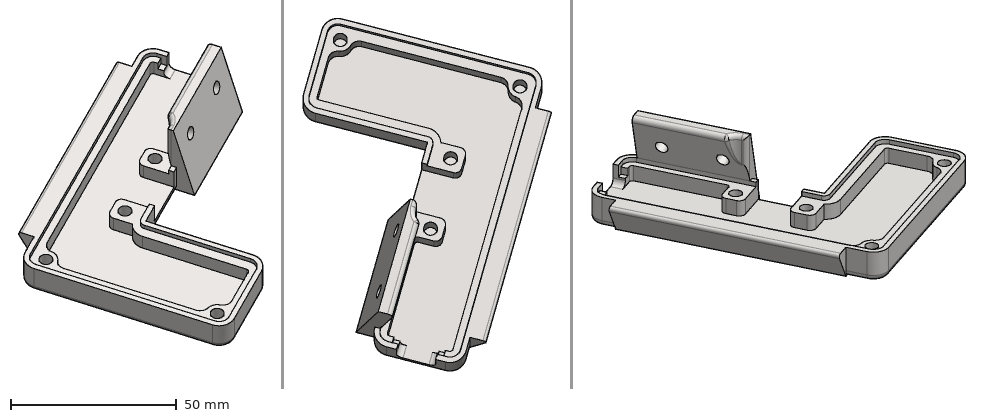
import cadquery as cq
import math

TRAY_X = 68.5
TRAY_Y = 96.7
TRAY_Z = 10.1
ARM_X = 28.5
FOOT_Y = 30.9
OUTER_R = 5.0
BOTTOM_R = 2.0
FLOOR_Z = 3.3
LEDGE_Z = 8.5
RIM_T = 1.7
RIM_INNER_R = 2.0

WALL_T = 4.1
FOOT_WALL_T = 4.8
POCKET_R = 1.0
ELBOW_R = 5.0

SCREW_D = 4.2
CORNER_SCREW_X = 6.4
CORNER_SCREW_SPAN = 56.1
CORNER_SCREW_Y = 6.1
CORNER_BOSS_R = 3.6
CORNER_BLEND_R = 3.0
BLOCK_LEFT = 16.5
BLOCK_R = 2.0
BLOCK_SCREW_X = 20.6
LOW_BLOCK_Y = (29.5, 37.7)
HIGH_BLOCK_Y = (52.6, 60.1)
LOW_SCREW_Y = 33.5
HIGH_SCREW_Y = 56.6

CABLE_X = 12.2
CABLE_R = 2.0
COLLAR_X = 16.0
COLLAR_Z = 6.0

RAIL_REACH = 5.0
RAIL_Y = (11.9, 87.2)
RAIL_ANGLE = 30.0
RAIL_R = 1.0

PLATE_TOP = 26.0
PLATE_Y = (54.6, 91.5)
PLATE_LEAN = 15.0
PLATE_X = 4.9
PLATE_R = 1.5
PLATE_HOLE_D = 4.1
PLATE_HOLE_Y = (62.7, 82.7)
PLATE_HOLE_Z = 16.4
ACCESS_R = 4.5

OVERSHOOT = 1.0
TOUCH = 0.1


corner_screws = [
    (CORNER_SCREW_X, CORNER_SCREW_Y),
    (CORNER_SCREW_X + CORNER_SCREW_SPAN, CORNER_SCREW_Y),
]
block_screws = [(BLOCK_SCREW_X, LOW_SCREW_Y), (BLOCK_SCREW_X, HIGH_SCREW_Y)]


def block(x, y, z):
    """Box given by its (low, high) limits along each axis."""
    box = cq.Workplane("XY").box(x[1] - x[0], y[1] - y[0], z[1] - z[0], centered=False)
    return box.translate((x[0], y[0], z[0]))


def edge_at(x, y):
    """Selector for the vertical edges standing at (x, y)."""
    return cq.selectors.BoxSelector((x - TOUCH, y - TOUCH, 0), (x + TOUCH, y + TOUCH, PLATE_TOP))


def ell(low, high, side_inset, foot_inset, outer_radii, inner_radius=0):
    """L-shaped prism inset from the tray outline.

    foot_inset applies to the long sides of the foot, side_inset to all other sides.
    outer_radii lists the outer corners counterclockwise from the origin; 0 keeps a corner sharp.
    """
    left, right, arm_right = side_inset, TRAY_X - side_inset, ARM_X - side_inset
    bottom, foot_top, top = foot_inset, FOOT_Y - foot_inset, TRAY_Y - side_inset
    outer = [(left, bottom), (right, bottom), (right, foot_top), (arm_right, top), (left, top)]
    inner = (arm_right, foot_top)
    outline = outer[:3] + [inner] + outer[3:]
    body = cq.Workplane("XY").workplane(offset=low).polyline(outline).close().extrude(high - low)
    for (x, y), radius in zip(outer + [inner], outer_radii + [inner_radius]):
        if radius > 0:
            body = body.edges("|Z").edges(edge_at(x, y)).fillet(radius)
    return body


def make_shell():
    shell = ell(0, TRAY_Z, 0, 0, [OUTER_R] * 5)
    return shell.faces("<Z").edges().fillet(BOTTOM_R)


def make_rim_recess():
    return ell(LEDGE_Z, TRAY_Z + OVERSHOOT, RIM_T, RIM_T, [OUTER_R - RIM_T] * 5, RIM_INNER_R)


def make_pocket():
    """Pocket with the corner bosses and the square bosses left standing."""
    radii = [0, 0, POCKET_R, POCKET_R, POCKET_R]
    pocket = ell(FLOOR_Z, LEDGE_Z, WALL_T, FOOT_WALL_T, radii, ELBOW_R)
    bosses = (
        cq.Workplane("XY").workplane(offset=FLOOR_Z).pushPoints(corner_screws)
        .circle(CORNER_BOSS_R).extrude(LEDGE_Z - FLOOR_Z)
    )
    pocket = pocket.cut(bosses)
    for x, y in corner_screws:
        reach = CORNER_BOSS_R + TOUCH
        near_boss = cq.selectors.BoxSelector((x - reach, 0, 0), (x + reach, y + reach, TRAY_Z))
        pocket = pocket.edges("|Z").edges(near_boss).fillet(CORNER_BLEND_R)
    for y in (LOW_BLOCK_Y, HIGH_BLOCK_Y):
        square = block((BLOCK_LEFT, ARM_X), y, (FLOOR_Z, LEDGE_Z)).edges("|Z and <X").fillet(BLOCK_R)
        pocket = pocket.cut(square)
    return pocket.edges("|Z").edges(edge_at(ARM_X - WALL_T, HIGH_BLOCK_Y[1])).fillet(POCKET_R)


def make_side_opening():
    """Gap in the arm wall between the two square bosses."""
    across = (BLOCK_SCREW_X, ARM_X + OVERSHOOT)
    along = (LOW_BLOCK_Y[1], HIGH_BLOCK_Y[0])
    return block(across, along, (FLOOR_Z, TRAY_Z + OVERSHOOT))


def make_cable_outlet():
    """Slot with rounded lower corners at floor level, plus the collar recess."""
    middle = ARM_X / 2
    inner = TRAY_Y - WALL_T
    top = TRAY_Z + OVERSHOOT
    slot = block((middle - CABLE_X / 2, middle + CABLE_X / 2), (inner, TRAY_Y + OVERSHOOT), (FLOOR_Z, top))
    slot = slot.faces("<Z").edges("|Y").fillet(CABLE_R)
    collar = block(
        (middle - COLLAR_X / 2, middle + COLLAR_X / 2), (inner, TRAY_Y - RIM_T), (COLLAR_Z, top)
    )
    return slot.union(collar)


def make_rail():
    """Overhanging rail, flush with the rim and running into the side wall."""
    nose_setback = RAIL_R * (math.tan(math.radians(45 + RAIL_ANGLE / 2)) - 1)
    tip = -RAIL_REACH - nose_setback
    foot = tip + TRAY_Z * math.tan(math.radians(RAIL_ANGLE))
    outline = [(tip, TRAY_Z), (RIM_T, TRAY_Z), (RIM_T, 0), (foot, 0)]
    rail = (
        cq.Workplane("XZ", origin=(0, RAIL_Y[1], 0)).polyline(outline).close()
        .extrude(RAIL_Y[1] - RAIL_Y[0])
    )
    return rail.edges("|Y and <X").fillet(RAIL_R)


lean_slope = math.tan(math.radians(PLATE_LEAN))
plate_left = ARM_X - RIM_T


def plate_face_x(z):
    """X of the -X face of the plate at height z."""
    return plate_left - (z - TRAY_Z) * lean_slope


def make_access():
    """Screwdriver clearance: a vertical round bore opened toward -Y."""
    wall_x = BLOCK_SCREW_X + ACCESS_R
    height = PLATE_TOP - TRAY_Z
    axis_foot = (BLOCK_SCREW_X, HIGH_SCREW_Y, TRAY_Z)
    bore = cq.Workplane("XY", origin=axis_foot).circle(ACCESS_R).extrude(height)
    opening = block((BLOCK_SCREW_X, wall_x), (PLATE_Y[0], HIGH_SCREW_Y), (TRAY_Z, PLATE_TOP))
    return bore.union(opening)


def make_plate():
    """Leaning plate with its foot against the arm, its clearance bore and rounded edges."""
    top_left = plate_face_x(PLATE_TOP)
    outline = [
        (plate_left, 0),
        (plate_face_x(0) + PLATE_X, 0),
        (top_left + PLATE_X, PLATE_TOP),
        (top_left, PLATE_TOP),
        (plate_left, TRAY_Z),
    ]
    plate = (
        cq.Workplane("XZ", origin=(0, PLATE_Y[1], 0)).polyline(outline).close()
        .extrude(PLATE_Y[1] - PLATE_Y[0])
    )
    plate = plate.cut(make_access())
    edge_zone = cq.selectors.BoxSelector(
        (plate_face_x(PLATE_TOP) - TOUCH, PLATE_Y[0] - TOUCH, TRAY_Z + OVERSHOOT),
        (BLOCK_SCREW_X + ACCESS_R + TOUCH, PLATE_Y[1] - TOUCH, PLATE_TOP + TOUCH),
    )
    return plate.edges(edge_zone).fillet(PLATE_R)


def make_plate_holes():
    """Holes through the plate, square to its leaning face."""
    holes = cq.Workplane("XY")
    for y in PLATE_HOLE_Y:
        across = cq.Plane(
            origin=(plate_face_x(PLATE_HOLE_Z), y, PLATE_HOLE_Z),
            xDir=(0, 1, 0),
            normal=(1, 0, lean_slope),
        )
        hole = cq.Workplane(across).circle(PLATE_HOLE_D / 2).extrude(PLATE_X, both=True)
        holes = holes.union(hole)
    return holes


def make_screw_holes():
    """Blind holes in all four bosses, down to floor level."""
    return (
        cq.Workplane("XY").workplane(offset=FLOOR_Z).pushPoints(corner_screws + block_screws)
        .circle(SCREW_D / 2).extrude(LEDGE_Z - FLOOR_Z)
    )


result = (
    make_shell()
    .union(make_rail())
    .cut(make_rim_recess())
    .cut(make_pocket())
    .union(make_plate())
    .cut(make_side_opening())
    .cut(make_cable_outlet())
    .cut(make_screw_holes())
    .cut(make_plate_holes())
)